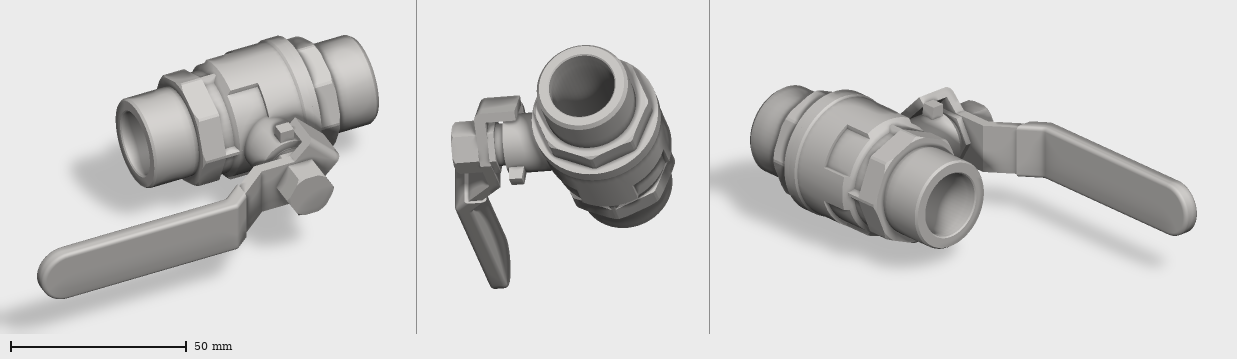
import cadquery as cq
import math


bore_d = 19.0
bore_mouth_d = 19.8
pipe_d = 26.4
tail_chamfer_length = 1.2
tail_chamfer_depth = 0.9
outlet_d = 26.5
outlet_shoulder_length = 1.1
outlet_chamfer_length = 0.7
outlet_chamfer_depth = 0.5

octagon_flats = 31.0
octagon_corner_d = 33.2
octagon_face_d = 31.7
octagon_chamfer_length = 0.6

collar_d = 36.6
shell_d = 35.6
neck_d = 30.3

tail_end_y = 36.0
tail_octagon_y = 22.1
tail_collar_y = 15.1
joint_y = 13.1
collar_base_y = 10.8
shell_start_y = 10.1
shell_end_y = -8.7
neck_start_y = -10.9
octagon_start_y = -14.1
octagon_end_y = -21.1
outlet_end_y = -35.0

panel_d = 33.2
panel_top_y = -0.1
panel_min_x = 8.0
panel_min_z = 5.2

rib_tip_half = 0.5
rib_root_half = 2.1
rib_root_d = 29.1

boss_d = 17.0
boss_end_x = 28.0
stop_width = 4.2
stop_height = 11.9
stop_end_x = 27.3
stop_tip_x = 23.6
stop_root_x = 23.0

gland_shank_d = 12.0
gland_seat_x = 20.9
gland_hex_x = 30.7
gland_hex_flats = 13.9
gland_collar_d = 12.4
gland_collar_length = 0.4
stem_d = 6.6
nut_flats = 12.9
nut_end_x = 43.2
nut_chamfer = 0.7

lever_thickness = 3.1
lever_width = 14.5
lever_seat_x = 32.5
lever_bend_y = -12.5
lever_slope = 50.0
grip_outer_x = 48.0
grip_thickness = 4.9
grip_width = 16.0
grip_start_y = -21.1
grip_edge_radius = 1.1
grip_bend_radius = 1.6
overall_length = 122.8
wing_width = 12.6
wing_reach = 12.2
wing_thickness = 2.8
wing_tip_x = 23.7
wing_bend_radius = 2.1
wing_angle = 45.0

nut_seat_x = lever_seat_x + lever_thickness
lever_head_mid_x = lever_seat_x + lever_thickness / 2
lever_arm_mid_x = grip_outer_x - grip_thickness / 2
second_bend_y = lever_bend_y - (lever_arm_mid_x - lever_head_mid_x) * math.tan(math.radians(lever_slope))
head_end_y = wing_width / 2 / math.sin(math.radians(wing_angle)) - lever_width / 2
grip_tip_y = tail_end_y - overall_length
grip_side_wall = (grip_width - lever_width) / 2
lever_tip_y = grip_tip_y + grip_side_wall


def cylinder_y(diameter, y_from, y_to):
    """Cylinder on the flow axis."""
    disc = cq.Workplane("XZ", origin=(0, y_from, 0)).circle(diameter / 2)
    return disc.extrude(y_from - y_to)


def cylinder_x(diameter, x_from, x_to):
    """Cylinder on the stem axis."""
    return cq.Workplane("YZ", origin=(x_from, 0, 0)).circle(diameter / 2).extrude(x_to - x_from)


def hexagon_x(flats, x_from, x_to):
    """Hexagonal prism on the stem axis with corners on +Y and -Y."""
    corner_d = flats / math.cos(math.radians(30))
    return cq.Workplane("YZ", origin=(x_from, 0, 0)).polygon(6, corner_d).extrude(x_to - x_from)


def revolve_y(points):
    """Turn an outline of (radius, y) points about the flow axis."""
    return cq.Workplane("XY").polyline(points).close().revolve(360, (0, 0, 0), (0, 1, 0))


def octagon(inner_y, outer_y):
    """Octagonal wrench grip with turned corners and a chamfered outer face."""
    corner_d = octagon_flats / math.cos(math.radians(22.5))
    prism = cq.Workplane("XZ", origin=(0, inner_y, 0)).polygon(8, corner_d).extrude(inner_y - outer_y)
    chamfer_y = outer_y - math.copysign(octagon_chamfer_length, outer_y)
    envelope = revolve_y([
        (0, inner_y),
        (octagon_corner_d / 2, inner_y),
        (octagon_corner_d / 2, chamfer_y),
        (octagon_face_d / 2, outer_y),
        (0, outer_y),
    ])
    return prism.intersect(envelope)


def tail_pipe():
    """Tailpiece pipe end with a chamfered mouth."""
    return revolve_y([
        (0, tail_octagon_y),
        (pipe_d / 2, tail_octagon_y),
        (pipe_d / 2, tail_end_y - tail_chamfer_length),
        (pipe_d / 2 - tail_chamfer_depth, tail_end_y),
        (0, tail_end_y),
    ])


def outlet_pipe():
    """Housing pipe end with a short shoulder and a chamfered mouth."""
    shoulder_y = octagon_end_y - outlet_shoulder_length
    return revolve_y([
        (0, octagon_end_y),
        (pipe_d / 2, octagon_end_y),
        (pipe_d / 2, shoulder_y),
        (outlet_d / 2, shoulder_y),
        (outlet_d / 2, outlet_end_y + outlet_chamfer_length),
        (outlet_d / 2 - outlet_chamfer_depth, outlet_end_y),
        (0, outlet_end_y),
    ])


def bore(start_y, end_y):
    """Flow passage that widens slightly at the pipe mouth, end_y."""
    mouth_depth = (bore_mouth_d - bore_d) / 2
    mouth_y = end_y - math.copysign(mouth_depth, end_y)
    return revolve_y([
        (0, start_y),
        (bore_d / 2, start_y),
        (bore_d / 2, mouth_y),
        (bore_mouth_d / 2, end_y),
        (0, end_y),
    ])


def shell():
    """Round middle of the housing, tapering down to the neck."""
    return revolve_y([
        (0, joint_y),
        (collar_d / 2, joint_y),
        (collar_d / 2, collar_base_y),
        (shell_d / 2, shell_start_y),
        (shell_d / 2, shell_end_y),
        (neck_d / 2, neck_start_y),
        (neck_d / 2, octagon_start_y),
        (0, octagon_start_y),
    ])


def panel_recess(min_z, max_z, side_x):
    """Cutter for one recessed panel, outside the panel diameter."""
    depth_y = panel_top_y - octagon_start_y
    block = (
        cq.Workplane("XY")
        .box(collar_d, depth_y, max_z - min_z)
        .translate((
            side_x * (panel_min_x + collar_d / 2),
            panel_top_y - depth_y / 2,
            (min_z + max_z) / 2,
        ))
    )
    return block.cut(cylinder_y(panel_d, panel_top_y, octagon_start_y))


def neck_rib(angle):
    """Tapered rib from the shell taper to the octagon."""
    root_z = rib_root_d / 2
    tip_z = octagon_corner_d / 2
    return (
        cq.Workplane("XZ", origin=(0, shell_end_y, 0))
        .polyline([
            (-rib_root_half, root_z),
            (rib_root_half, root_z),
            (rib_tip_half, tip_z),
            (-rib_tip_half, tip_z),
        ])
        .close()
        .extrude(shell_end_y - octagon_start_y)
        .rotate((0, 0, 0), (0, 1, 0), angle)
    )


def rotation_stops():
    """Bar across the boss whose two ends stop the lever wing."""
    half_bar = (
        cq.Workplane("XZ", origin=(0, stop_width / 2, 0))
        .polyline([
            (stop_root_x, 0),
            (stop_end_x, 0),
            (stop_end_x, stop_height),
            (stop_tip_x, stop_height),
            (stop_root_x, boss_d / 2),
        ])
        .close()
        .extrude(stop_width)
    )
    return half_bar.union(half_bar.mirror("XY"))


def make_housing():
    body = shell()
    body = body.cut(panel_recess(panel_min_z, collar_d, -1))
    body = body.cut(panel_recess(-collar_d, -panel_min_z, -1))
    body = body.cut(panel_recess(-collar_d, collar_d, 1))
    for angle in (0, 90, 180, 270):
        body = body.union(neck_rib(angle))
    body = body.union(octagon(octagon_start_y, octagon_end_y))
    body = body.union(outlet_pipe())
    body = body.union(cylinder_x(boss_d, 0, boss_end_x))
    body = body.union(rotation_stops())
    body = body.cut(bore(joint_y, outlet_end_y))
    return body.cut(cylinder_x(gland_shank_d, gland_seat_x, boss_end_x))


def make_tailpiece():
    body = cylinder_y(collar_d, joint_y, tail_collar_y)
    body = body.union(octagon(tail_collar_y, tail_octagon_y))
    body = body.union(tail_pipe())
    return body.cut(bore(joint_y, tail_end_y))


def make_gland():
    shank = cylinder_x(gland_shank_d, gland_seat_x, gland_hex_x)
    collar = cylinder_x(gland_collar_d, boss_end_x, boss_end_x + gland_collar_length)
    head = hexagon_x(gland_hex_flats, gland_hex_x, lever_seat_x)
    return shank.union(collar).union(head).cut(cylinder_x(stem_d, gland_seat_x, lever_seat_x))


def make_stem():
    return cylinder_x(stem_d, gland_seat_x, nut_end_x)


def make_nut():
    corner_r = nut_flats / 2 / math.cos(math.radians(30))
    envelope = (
        cq.Workplane("YZ", origin=(nut_seat_x, 0, 0))
        .circle(corner_r)
        .extrude(nut_end_x - nut_seat_x)
        .faces(">X")
        .chamfer(nut_chamfer)
    )
    nut = hexagon_x(nut_flats, nut_seat_x, nut_end_x).intersect(envelope)
    return nut.cut(cylinder_x(stem_d, nut_seat_x, nut_end_x))


def cranked_bar(thickness, width, start_y, tip_y):
    """Bar following the lever's two bends, with a half-round tip."""
    half = thickness / 2
    miter = half * math.tan(math.radians((90 - lever_slope) / 2))
    bar = (
        cq.Workplane("XY", origin=(0, 0, -width / 2))
        .polyline([
            (lever_head_mid_x - half, start_y),
            (lever_head_mid_x + half, start_y),
            (lever_head_mid_x + half, lever_bend_y + miter),
            (lever_arm_mid_x + half, second_bend_y + miter),
            (lever_arm_mid_x + half, tip_y),
            (lever_arm_mid_x - half, tip_y),
            (lever_arm_mid_x - half, second_bend_y - miter),
            (lever_head_mid_x - half, lever_bend_y - miter),
        ])
        .close()
        .extrude(width)
    )
    round_y = tip_y + width / 2
    outline = (
        cq.Workplane("YZ")
        .moveTo(start_y, -width / 2)
        .lineTo(round_y, -width / 2)
        .threePointArc((tip_y, 0), (round_y, width / 2))
        .lineTo(start_y, width / 2)
        .close()
        .extrude(grip_outer_x)
    )
    return bar.intersect(outline)


def wing():
    """Diagonal ear of the lever head, bent toward the housing to meet the stops."""
    root_reach = (head_end_y - lever_width / 2) * math.sin(math.radians(wing_angle))
    ear = (
        cq.Workplane("XY")
        .box(nut_seat_x - wing_tip_x, wing_reach - root_reach, wing_width, centered=(False, False, True))
        .translate((wing_tip_x, root_reach, 0))
        .edges(">X and >Y")
        .fillet(wing_bend_radius)
    )
    inside = (
        cq.Workplane("XY")
        .box(lever_seat_x - wing_tip_x, wing_reach - wing_thickness - root_reach, wing_width,
             centered=(False, False, True))
        .translate((wing_tip_x, root_reach, 0))
    )
    return ear.cut(inside).rotate((0, 0, 0), (1, 0, 0), wing_angle)


def make_lever():
    bar = cranked_bar(lever_thickness, lever_width, head_end_y, lever_tip_y)
    return bar.union(wing()).cut(cylinder_x(stem_d, lever_seat_x, nut_seat_x))


def make_grip(lever):
    sleeve = cranked_bar(grip_thickness, grip_width, 0, grip_tip_y)
    bend_zone = cq.selectors.BoxSelector(
        (0, second_bend_y - grip_thickness, -grip_width),
        (2 * grip_outer_x, second_bend_y + grip_thickness, grip_width),
    )
    sleeve = sleeve.edges("|Z").edges(bend_zone).fillet(grip_bend_radius)
    sleeve = sleeve.edges("not (|Z or >Y)").fillet(grip_edge_radius)
    above_start = cq.Workplane("XY").box(2 * grip_outer_x, -2 * grip_start_y, 2 * grip_width)
    return sleeve.cut(above_start).cut(lever)


housing = make_housing()
tailpiece = make_tailpiece()
gland = make_gland()
stem = make_stem()
nut = make_nut()
lever = make_lever()
grip = make_grip(lever)

result = cq.Compound.makeCompound([
    housing.val(),
    tailpiece.val(),
    gland.val(),
    stem.val(),
    nut.val(),
    lever.val(),
    grip.val(),
])